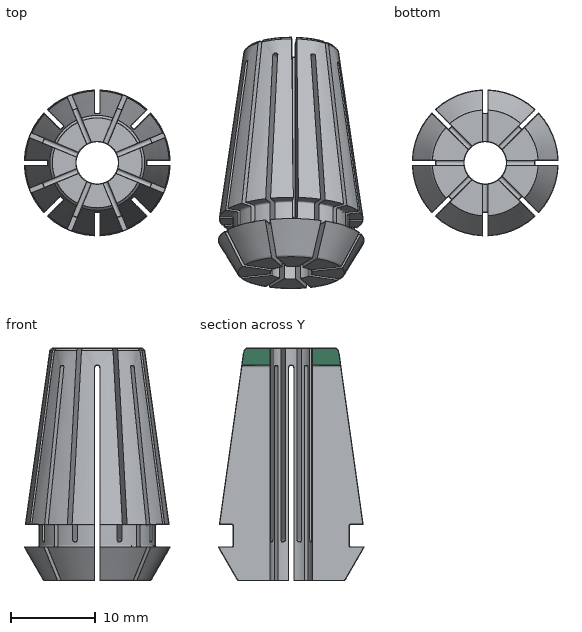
import cadquery as cq
import math

length = 27.5
bore_diameter = 5.0

taper_base_z = 6.65
taper_base_radius = 8.5
taper_half_angle = 8
top_chamfer = 0.3

flange_top_z = 4.0
flange_radius = 17.25 / 2
flange_half_angle = 30
bottom_chamfer = 0.15
neck_radius = 6.88
neck_fillet = 0.2

slits_per_set = 8
slit_width = 0.6
lower_slit_end_z = 25.46
upper_slit_end_z = 4.6


def collet_blank():
    """Revolved body with taper, groove and flange around the plain bore."""
    flange_base_radius = flange_radius - (flange_top_z - bottom_chamfer) * math.tan(
        math.radians(flange_half_angle)
    )
    chamfer_base_z = length - top_chamfer
    taper_top_radius = taper_base_radius - (chamfer_base_z - taper_base_z) * math.tan(
        math.radians(taper_half_angle)
    )
    bore_radius = bore_diameter / 2
    fillet_end_radius = neck_radius + neck_fillet
    fillet_mid_offset = neck_fillet * (1 - math.sqrt(0.5))
    fillet_mid_radius = neck_radius + fillet_mid_offset

    profile = (
        cq.Workplane("XZ")
        .moveTo(bore_radius, 0)
        .lineTo(flange_base_radius - bottom_chamfer, 0)
        .lineTo(flange_base_radius, bottom_chamfer)
        .lineTo(flange_radius, flange_top_z)
        .lineTo(fillet_end_radius, flange_top_z)
        .threePointArc(
            (fillet_mid_radius, flange_top_z + fillet_mid_offset),
            (neck_radius, flange_top_z + neck_fillet),
        )
        .lineTo(neck_radius, taper_base_z - neck_fillet)
        .threePointArc(
            (fillet_mid_radius, taper_base_z - fillet_mid_offset),
            (fillet_end_radius, taper_base_z),
        )
        .lineTo(taper_base_radius, taper_base_z)
        .lineTo(taper_top_radius, chamfer_base_z)
        .lineTo(taper_top_radius - top_chamfer, length)
        .lineTo(bore_radius, length)
        .close()
    )
    return profile.revolve(360, (0, 0, 0), (0, 1, 0))


def slit_cutter(open_z, end_z):
    """Slab across the full diameter, from open_z to a half-round end peaking at end_z."""
    half_width = slit_width / 2
    direction = math.copysign(1, end_z - open_z)
    arc_start_z = end_z - direction * half_width
    return (
        cq.Workplane("XZ")
        .moveTo(-half_width, open_z)
        .lineTo(-half_width, arc_start_z)
        .threePointArc((0, end_z), (half_width, arc_start_z))
        .lineTo(half_width, open_z)
        .close()
        .extrude(2 * flange_radius, both=True)
    )


def cut_slits(body, open_z, end_z, first_angle):
    """Cut one set of slits; each slab makes two opposite slits."""
    cutter = slit_cutter(open_z, end_z)
    spacing = 360 / slits_per_set
    for index in range(slits_per_set // 2):
        angle = first_angle + index * spacing
        body = body.cut(cutter.rotate((0, 0, 0), (0, 0, 1), angle))
    return body


result = collet_blank()
result = cut_slits(result, 0, lower_slit_end_z, 0)
result = cut_slits(result, length, upper_slit_end_z, 180 / slits_per_set)